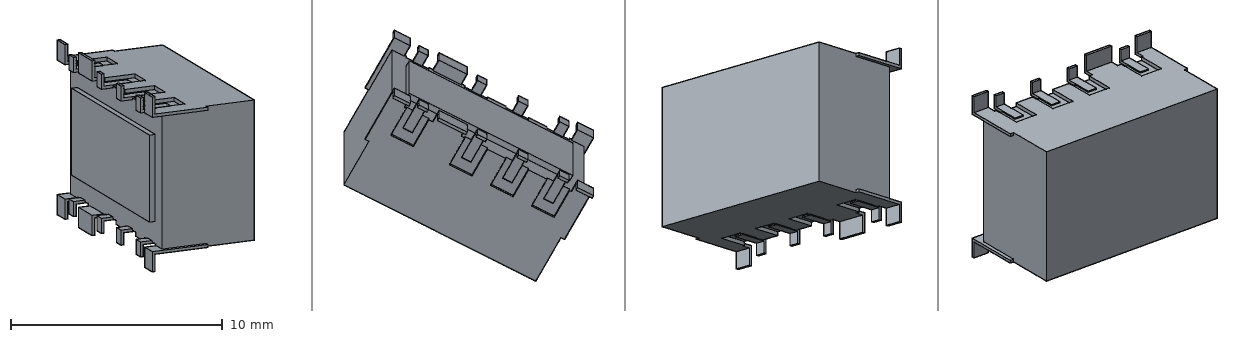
import cadquery as cq

housing_width = 10.3
housing_depth = 4.8
housing_height = 6.9
front_y = -housing_depth / 2
top_z = housing_height / 2

pad_width = 8.77
pad_height = 4.28
pad_projection = 0.3

sheet = 0.15
terminal_projection = 0.6
foot_front_y = front_y - terminal_projection

frame_width = 10.7
frame_height = 8.6
frame_insertion = 2.3
frame_back_y = front_y + frame_insertion
frame_tip_z = frame_height / 2
corner_foot_width = 0.87
middle_foot_width = 1.52
middle_foot_x = -2.19
corner_foot_x = (frame_width - corner_foot_width) / 2
frame_feet = [
    (-corner_foot_x, corner_foot_width),
    (middle_foot_x, middle_foot_width),
    (corner_foot_x, corner_foot_width),
]

end_pin_x = 3.78
pin_pitch = 2.2
pin_positions = [-end_pin_x, end_pin_x - 2 * pin_pitch, end_pin_x - pin_pitch, end_pin_x]
pin_width = 0.5
pin_insertion = 1.0
pin_recess = 0.13
pin_foot_setback = 0.39
pin_back_y = front_y + pin_insertion
pin_outer_z = top_z - pin_recess
pin_tip_z = frame_tip_z - pin_foot_setback
pocket_width = 1.21
pocket_length = 1.54
pocket_depth = 0.19


def block(center_x, width, y_min, y_max, z_min, z_max):
    """Box centred on center_x in X, spanning the given Y and Z ranges."""
    size = (width, y_max - y_min, z_max - z_min)
    center = (center_x, (y_min + y_max) / 2, (z_min + z_max) / 2)
    return cq.Workplane("XY").box(*size).translate(center)


def on_both_faces(upper):
    """Add the mirror image of a top-face feature on the bottom face."""
    return upper.union(upper.mirror("XY"))


def bent_terminal(center_x, width, back_y, outer_z, tip_z):
    """L-shaped strip: a leg running forward, then a foot bent away from the housing."""
    leg = block(center_x, width, foot_front_y, back_y, outer_z - sheet, outer_z)
    foot = block(center_x, width, foot_front_y, foot_front_y + sheet, outer_z - sheet, tip_z)
    return leg.union(foot)


def make_housing():
    body = cq.Workplane("XY").box(housing_width, housing_depth, housing_height)
    pad = block(0, pad_width, front_y - pad_projection, front_y, -pad_height / 2, pad_height / 2)
    return body.union(pad)


def make_frame():
    frame = block(0, frame_width, front_y, frame_back_y, top_z - sheet, top_z)
    for center_x, width in frame_feet:
        frame = frame.union(bent_terminal(center_x, width, frame_back_y, top_z, frame_tip_z))
    return frame


result = make_housing().union(on_both_faces(make_frame()))

for x in pin_positions:
    pocket = block(x, pocket_width, front_y, front_y + pocket_length, top_z - pocket_depth, top_z)
    result = result.cut(on_both_faces(pocket))

for x in pin_positions:
    pin = bent_terminal(x, pin_width, pin_back_y, pin_outer_z, pin_tip_z)
    result = result.union(on_both_faces(pin))